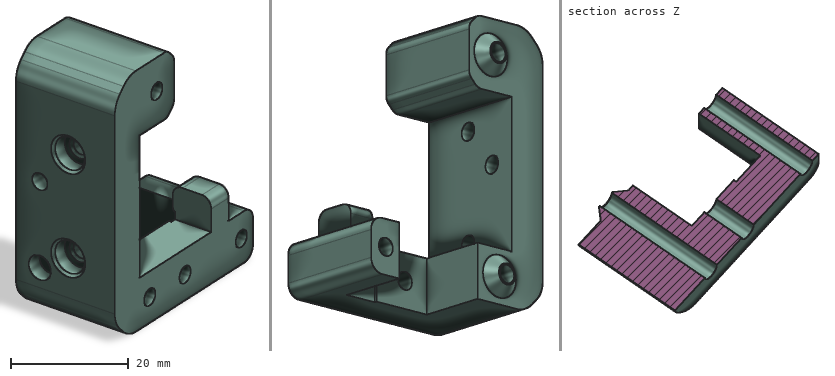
import cadquery as cq

width = 20.95
depth = 39.5
height = 50.4

post_depth = 7.1
arm_reach = 17.0
arm_height = 12.95
base_height = 10.0
front_chamfer = 4.0
front_blend = 5.0
arm_chamfer = 2.0
arm_blend = 2.0
rear_fillet = 2.5

block_depth = 15.0
bar_front = 33.0
bridge_left = 12.8
relief_step = 0.5
relief_front = 26.5

tab_front = 27.5
tab_back = 32.5
tab_top = 16.55
tab_lip = 11.9
tab_fillet = 2.0

hole_diameter = 3.25
boss_length = 1.9
boss_base_diameter = 7.6
boss_tip_diameter = boss_base_diameter - 2 * boss_length
side_hole_z = base_height / 2
upper_boss = (12.0, 43.9)
lower_boss = (10.0, side_hole_z)
bridge_hole = (20.05, side_hole_z)
bar_hole = (36.15, side_hole_z)

screw_x = 11.1
screw_heights = (13.65, 33.65)
counterbore_diameter = 6.25
counterbore_depth = 3.25
hole_edge_chamfer = 0.5
pin_x = 5.1
pin_hole_z = 26.5
blind_hole_z = 9.9
blind_hole_diameter = 4.7
blind_hole_depth = 3.0


def box(x0, x1, y0, y1, z0, z1):
    """Box between two opposite corners."""
    return cq.Workplane("XY").box(x1 - x0, y1 - y0, z1 - z0, centered=False).translate((x0, y0, z0))


def edge_at(y, z):
    """Selector for the edge along X at the given corner of the body."""
    return cq.selectors.NearestToPointSelector((width / 2, y, z))


def chamfered_corner(solid, y, z, chamfer, blend):
    """Chamfer a corner along X, then round both edges of the chamfer."""
    y_inward = 1 if y == 0 else -1
    z_inward = -1 if z == height else 1
    solid = solid.edges(edge_at(y, z)).chamfer(chamfer)
    ends = solid.edges(edge_at(y + y_inward * chamfer, z))
    ends = ends.add(solid.edges(edge_at(y, z + z_inward * chamfer)))
    return ends.fillet(blend)


def make_body():
    outline = [
        (0, 0),
        (depth, 0),
        (depth, base_height),
        (post_depth, base_height),
        (post_depth, height - arm_height),
        (arm_reach, height - arm_height),
        (arm_reach, height),
        (0, height),
    ]
    body = cq.Workplane("YZ").polyline(outline).close().extrude(width)
    for z in (0, height):
        body = chamfered_corner(body, 0, z, front_chamfer, front_blend)
    body = chamfered_corner(body, arm_reach, height, arm_chamfer, arm_blend)
    body = chamfered_corner(body, arm_reach, height - arm_height, arm_chamfer, arm_blend)
    for z in (0, base_height):
        body = body.edges(edge_at(depth, z)).fillet(rear_fillet)
    return body


def make_base_gap():
    """Space that narrows the middle of the base, with a shallow relief beside the tab."""
    gap = box(0, bridge_left, block_depth, bar_front, 0, base_height)
    relief = box(0, bridge_left + relief_step, relief_front, bar_front, 0, base_height)
    return gap.union(relief)


def make_tab():
    """Tab with rounded top edges and a sloped lip over the relief."""
    neck_left = bridge_left + relief_step
    profile = [
        (neck_left, 0),
        (width, 0),
        (width, tab_top),
        (bridge_left, tab_top),
        (bridge_left, tab_lip),
        (neck_left, tab_lip - relief_step),
    ]
    tab = cq.Workplane("XZ").polyline(profile).close().extrude(tab_front - tab_back)
    tab = tab.translate((0, tab_front, 0))
    return tab.faces(">Z").edges("|Y").fillet(tab_fillet)


def make_boss(y, z):
    cone = cq.Solid.makeCone(
        boss_base_diameter / 2, boss_tip_diameter / 2, boss_length,
        cq.Vector(0, y, z), cq.Vector(-1, 0, 0),
    )
    return cq.Workplane(obj=cone)


def side_hole(y, z):
    """Cutter for a hole along X through the whole part."""
    start = cq.Vector(-boss_length, y, z)
    return cq.Solid.makeCylinder(hole_diameter / 2, width + boss_length, start, cq.Vector(1, 0, 0))


def plate_hole(x, z, diameter, length):
    """Cutter for a hole along Y into the front plate."""
    return cq.Solid.makeCylinder(diameter / 2, length, cq.Vector(x, 0, z), cq.Vector(0, 1, 0))


def edge_cone(x, z, diameter, start):
    """Cutter that breaks the front edge of a plate hole at 45 degrees."""
    radius = diameter / 2
    return cq.Solid.makeCone(
        radius + hole_edge_chamfer, radius, hole_edge_chamfer,
        cq.Vector(x, start, z), cq.Vector(0, 1, 0),
    )


result = make_body().cut(make_base_gap()).union(make_tab())
for boss in (upper_boss, lower_boss):
    result = result.union(make_boss(*boss))

for place in (upper_boss, lower_boss, bridge_hole, bar_hole):
    result = result.cut(cq.Workplane(obj=side_hole(*place)))

plate_cutters = [
    plate_hole(pin_x, pin_hole_z, hole_diameter, post_depth),
    plate_hole(pin_x, blind_hole_z, blind_hole_diameter, blind_hole_depth),
]
for z in screw_heights:
    plate_cutters += [
        plate_hole(screw_x, z, hole_diameter, post_depth),
        plate_hole(screw_x, z, counterbore_diameter, counterbore_depth),
        edge_cone(screw_x, z, counterbore_diameter, 0),
        edge_cone(screw_x, z, hole_diameter, counterbore_depth),
    ]
for cutter in plate_cutters:
    result = result.cut(cq.Workplane(obj=cutter))